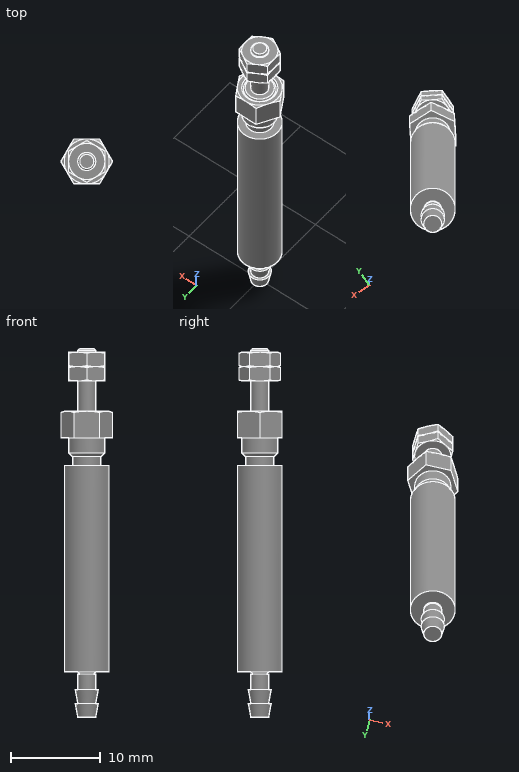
import cadquery as cq
import math

TOTAL_HEIGHT = 41.0
BARREL_BOTTOM = 5.05
BARREL_TOP = 28.0
THREAD_BOTTOM = 29.0
HEX_BOTTOM = 31.08
HEX_TOP = 34.05
LOCKNUT_BOTTOM = 37.4
LOCKNUT_HEIGHT = 1.6

BARREL_DIA = 5.0
NECK_DIA = 3.15
COLLAR_DIA = 4.0
COLLAR_END_DIA = 3.25
COLLAR_CHAMFER = (COLLAR_DIA - COLLAR_END_DIA) / 2

HEX_FLATS = 5.0
LOCKNUT_FLATS = 4.0
LOCKNUT_COUNT = 2
NUT_CHAMFER_ANGLE = 20.0
HEX_SIDES = 6

ROD_DIA = 2.0
ROD_TIP_DIA = 1.55
ROD_CHAMFER = (ROD_DIA - ROD_TIP_DIA) / 2
BARB_DIA = 2.6
BARB_TOP = 3.08
BARB_COUNT = 2
BARB_PITCH = BARB_TOP / BARB_COUNT

SEAT_DIA = (COLLAR_DIA + COLLAR_END_DIA) / 2
SEAT_CHAMFER = (COLLAR_DIA - SEAT_DIA) / 2


def turned(profile):
    """Revolve (diameter, height) points about Z, closing along the axis."""
    points = [(dia / 2, z) for dia, z in profile]
    outline = [(0, points[0][1]), *points, (0, points[-1][1])]
    return cq.Workplane("XZ").polyline(outline).close().revolve(360, (0, 0), (0, 1))


def hexagon(flats, bottom, height, turn, chamfer_bottom):
    """Hexagonal prism whose corners are trimmed by a cone at one or both ends."""
    corner_dia = flats / math.cos(math.pi / HEX_SIDES)
    drop = (corner_dia - flats) / 2 * math.tan(math.radians(NUT_CHAMFER_ANGLE))
    top = bottom + height
    prism = (
        cq.Workplane("XY", origin=(0, 0, bottom))
        .transformed(rotate=(0, 0, turn))
        .polygon(HEX_SIDES, corner_dia)
        .extrude(height)
    )
    envelope = [(corner_dia, top - drop), (flats, top)]
    if chamfer_bottom:
        envelope = [(flats, bottom), (corner_dia, bottom + drop)] + envelope
    else:
        envelope = [(corner_dia, bottom)] + envelope
    return prism.intersect(turned(envelope))


def make_sleeve():
    body = turned([
        (BARREL_DIA, BARREL_BOTTOM),
        (BARREL_DIA, BARREL_TOP),
        (NECK_DIA, BARREL_TOP),
        (NECK_DIA, THREAD_BOTTOM),
        (COLLAR_END_DIA, THREAD_BOTTOM),
        (COLLAR_DIA, THREAD_BOTTOM + COLLAR_CHAMFER),
        (COLLAR_DIA, HEX_BOTTOM),
        (SEAT_DIA, HEX_BOTTOM),
        (SEAT_DIA, HEX_TOP - SEAT_CHAMFER),
        (COLLAR_END_DIA, HEX_TOP),
    ])
    rod_bore = turned([(ROD_DIA, BARREL_BOTTOM), (ROD_DIA, HEX_TOP)])
    return body.cut(rod_bore)


def make_hex_nut():
    body = hexagon(HEX_FLATS, HEX_BOTTOM, HEX_TOP - HEX_BOTTOM, 0, False)
    bore = turned([
        (SEAT_DIA, HEX_BOTTOM),
        (SEAT_DIA, HEX_TOP - SEAT_CHAMFER),
        (COLLAR_DIA, HEX_TOP),
    ])
    return body.cut(bore)


def make_locknut(bottom):
    quarter_turn = 90
    body = hexagon(LOCKNUT_FLATS, bottom, LOCKNUT_HEIGHT, quarter_turn, True)
    bore = turned([(ROD_DIA, bottom), (ROD_DIA, bottom + LOCKNUT_HEIGHT)])
    return body.cut(bore)


def make_rod():
    profile = []
    for i in range(BARB_COUNT):
        profile.append((ROD_DIA, i * BARB_PITCH))
        profile.append((BARB_DIA, (i + 1) * BARB_PITCH))
    profile += [
        (ROD_DIA, BARB_TOP),
        (ROD_DIA, BARREL_BOTTOM - ROD_CHAMFER),
        (ROD_TIP_DIA, BARREL_BOTTOM - ROD_CHAMFER),
        (ROD_DIA, BARREL_BOTTOM),
        (ROD_DIA, TOTAL_HEIGHT - ROD_CHAMFER),
        (ROD_TIP_DIA, TOTAL_HEIGHT),
    ]
    return turned(profile)


sleeve = make_sleeve()
hex_nut = make_hex_nut()
rod = make_rod()
locknuts = [make_locknut(LOCKNUT_BOTTOM + i * LOCKNUT_HEIGHT) for i in range(LOCKNUT_COUNT)]

result = cq.Compound.makeCompound([
    sleeve.val(),
    hex_nut.val(),
    rod.val(),
    *[locknut.val() for locknut in locknuts],
])